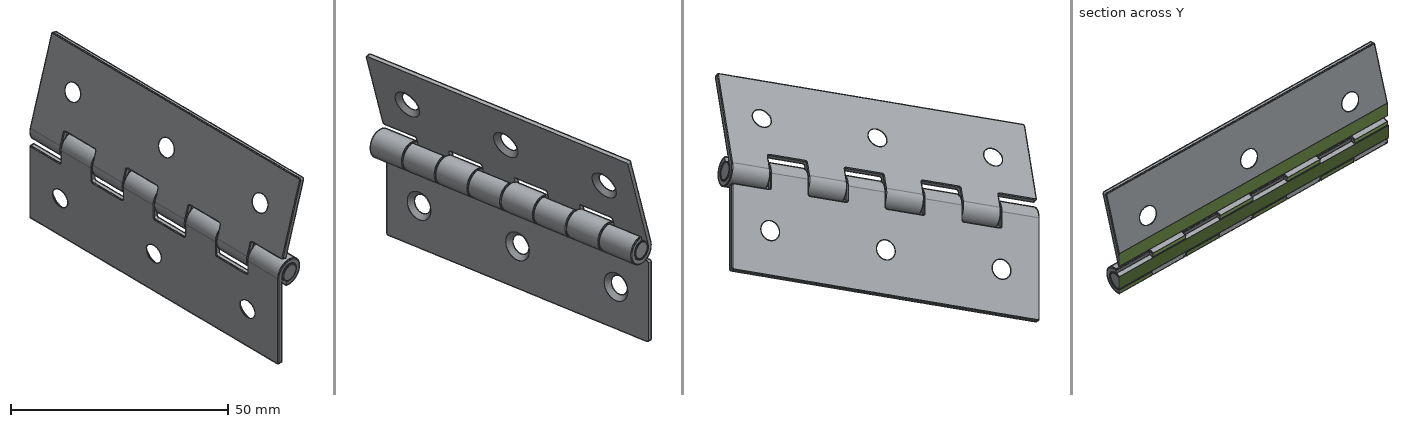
import cadquery as cq
import math

LEAF_WIDTH = 79.8
LEAF_LENGTH = 25.0
THICKNESS = 1.2
CORNER_RADIUS = 0.5
EDGE_CHAMFER = 0.2
OPEN_TILT = 16.7

KNUCKLE_RADIUS = 3.6
BORE_RADIUS = KNUCKLE_RADIUS - THICKNESS
ROLL_ANGLE = 287
SLOTS_PER_LEAF = 4
PITCH = LEAF_WIDTH / SLOTS_PER_LEAF
KNUCKLE_GAP = 0.1
SLOT_WIDTH = PITCH / 2 + KNUCKLE_GAP / 2
SLOT_DEPTH = 3.9

HOLE_DIAMETER = 4.8
HOLE_SPACING = 30.0
HOLE_DROP = 14.0
SINK_ANGLE = 90

PIN_RADIUS = 2.2
PIN_LENGTH = 80.0


def on_circle(radius, angle):
    """Point (Y, Z) on a circle around the pin axis, angle in degrees from +Y."""
    turn = math.radians(angle)
    return radius * math.cos(turn), radius * math.sin(turn)


def leaf_profile():
    """Flat plate hanging below the axis, rolled over the top and around the bore."""
    roll_start = 180
    roll_middle = roll_start - ROLL_ANGLE / 2
    roll_end = roll_start - ROLL_ANGLE
    return (
        cq.Workplane("YZ", origin=(-LEAF_WIDTH / 2, 0, 0))
        .moveTo(-KNUCKLE_RADIUS, -LEAF_LENGTH)
        .lineTo(-KNUCKLE_RADIUS, 0)
        .threePointArc(on_circle(KNUCKLE_RADIUS, roll_middle), on_circle(KNUCKLE_RADIUS, roll_end))
        .lineTo(*on_circle(BORE_RADIUS, roll_end))
        .threePointArc(on_circle(BORE_RADIUS, roll_middle), (-BORE_RADIUS, 0))
        .lineTo(-BORE_RADIUS, -LEAF_LENGTH)
        .close()
    )


def slot_cutter(index):
    """Block that clears one knuckle of the other leaf; the first one runs out of the leaf's end."""
    height = SLOT_DEPTH + 2 * KNUCKLE_RADIUS
    depth = 4 * KNUCKLE_RADIUS
    right = -LEAF_WIDTH / 2 + index * PITCH + SLOT_WIDTH
    left = right - PITCH if index == 0 else right - SLOT_WIDTH - KNUCKLE_GAP / 2
    return (
        cq.Workplane("XY")
        .box(right - left, depth, height, centered=False)
        .translate((left, -depth / 2, -SLOT_DEPTH))
    )


def outer_outline(leaf):
    """Edges around the outer face: plane and roll at the knuckle radius, minus the line joining them."""
    tolerance = 0.001

    def lies_outside(edge):
        points = [edge.positionAt(share) for share in (0, 0.5, 1)]
        on_plate = all(abs(p.y + KNUCKLE_RADIUS) < tolerance and p.z < tolerance for p in points)
        on_roll = all(abs(math.hypot(p.y, p.z) - KNUCKLE_RADIUS) < tolerance for p in points)
        return on_plate != on_roll

    return leaf.newObject([edge for edge in leaf.edges().vals() if lies_outside(edge)])


def countersunk_hole(x):
    """Cone through the plate, at hole size on the outer face and wider on the inner face."""
    outer_radius = HOLE_DIAMETER / 2
    inner_radius = outer_radius + THICKNESS * math.tan(math.radians(SINK_ANGLE / 2))
    return cq.Workplane(cq.Solid.makeCone(
        outer_radius, inner_radius, THICKNESS,
        pnt=cq.Vector(x, -KNUCKLE_RADIUS, -HOLE_DROP), dir=cq.Vector(0, 1, 0),
    ))


def make_leaf():
    leaf = leaf_profile().extrude(LEAF_WIDTH)
    for index in range(SLOTS_PER_LEAF):
        leaf = leaf.cut(slot_cutter(index))
    leaf = leaf.edges("|Y").fillet(CORNER_RADIUS)
    leaf = outer_outline(leaf).chamfer(EDGE_CHAMFER)
    for x in (-HOLE_SPACING, 0, HOLE_SPACING):
        leaf = leaf.cut(countersunk_hole(x))
    return leaf


def make_pin():
    pin = cq.Workplane("YZ", origin=(-LEAF_WIDTH / 2, 0, 0)).circle(PIN_RADIUS).extrude(PIN_LENGTH)
    return pin.faces("<X or >X").chamfer(EDGE_CHAMFER)


lower_leaf = make_leaf()
upper_leaf = (
    make_leaf()
    .rotate((0, 0, 0), (0, 1, 0), 180)
    .rotate((0, 0, 0), (1, 0, 0), -OPEN_TILT)
)
pin = make_pin()

result = cq.Compound.makeCompound([lower_leaf.val(), upper_leaf.val(), pin.val()])